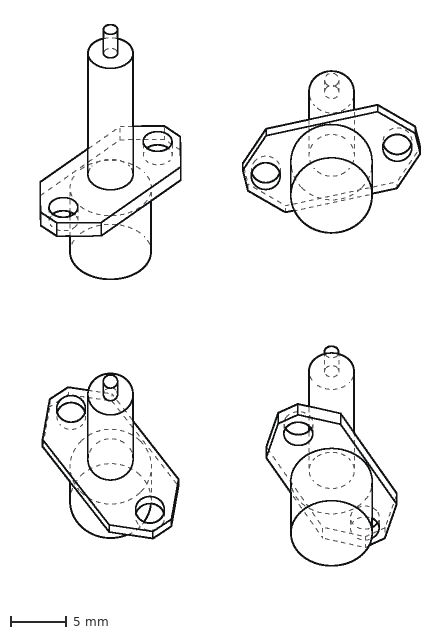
import cadquery as cq

total_height = 27.43
barrel_height = 7.9
flange_thickness = 1.65
pin_height = 2.9
sleeve_height = total_height - barrel_height - flange_thickness - pin_height

barrel_diameter = 7.35
sleeve_diameter = 4.1
pin_diameter = 1.3

flange_width = 7.7
flange_length = 16.0
corner_cut = 2.83
hole_diameter = 2.6
hole_spacing = 12.2

flange_bottom = barrel_height
sleeve_bottom = flange_bottom + flange_thickness
pin_bottom = sleeve_bottom + sleeve_height


def cylinder(diameter, height, bottom):
    """Solid cylinder on the Z axis, standing on the given level."""
    return cq.Workplane("XY").workplane(offset=bottom).circle(diameter / 2).extrude(height)


def mounting_flange():
    """Rectangular plate with cut corners and a screw hole near each end."""
    plate = (
        cq.Workplane("XY")
        .workplane(offset=flange_bottom)
        .rect(flange_width, flange_length)
        .extrude(flange_thickness)
        .edges("|Z")
        .chamfer(corner_cut)
    )
    hole_centers = [(0, -hole_spacing / 2), (0, hole_spacing / 2)]
    return plate.faces(">Z").workplane(origin=(0, 0, 0)).pushPoints(hole_centers).hole(hole_diameter)


barrel = cylinder(barrel_diameter, barrel_height, 0)
sleeve = cylinder(sleeve_diameter, sleeve_height, sleeve_bottom)
pin = cylinder(pin_diameter, pin_height, pin_bottom)

result = barrel.union(mounting_flange()).union(sleeve).union(pin)